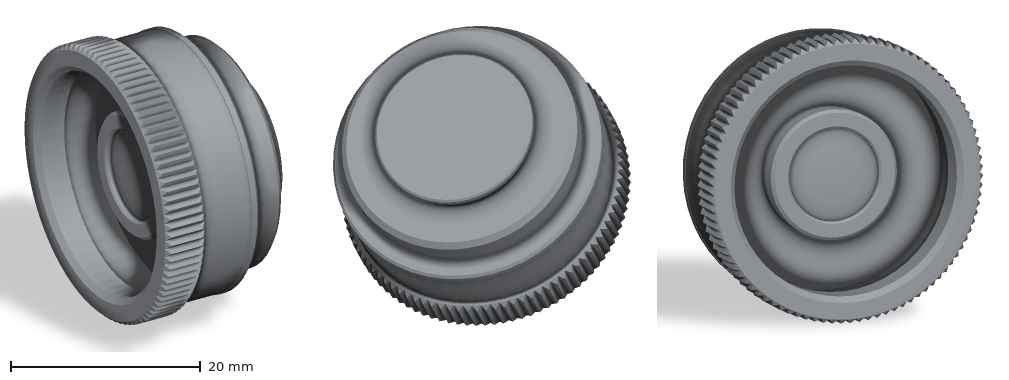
import cadquery as cq
import math


grip_diameter = 30.5
grip_length = 4.8
tooth_count = 95
tooth_depth = 0.52
grip_chamfer = tooth_depth

barrel_diameter = 28.8
band_diameter = 29.0
band_start = 10.68
band_end = 11.62
band_chamfer = 0.27
flange_neck_diameter = 24.5
flange_diameter = 25.4
flange_start = 12.38
flange_end = 15.62
flange_chamfer = 0.58
collar_diameter = 16.0
collar_end = 16.85
collar_chamfer = 0.25
lip_neck_diameter = 13.1
lip_diameter = 17.0
lip_start = 17.23
lip_chamfer = 0.2
total_length = 18.03

mouth_diameter = 24.7
mouth_chamfer = 0.6
mouth_depth = 3.45
chamber_diameter = 25.6
chamber_depth = 7.47

boss_diameter = 14.0
boss_front = 4.18
boss_chamfer = 0.35
lens_diameter = 10.0
lens_seat_depth = 0.67
lens_seat_chamfer = 0.2
lens_bulge = 0.3

center_axis = cq.Vector(0, 1, 0)


def disc(diameter, start, end):
    """Cylinder on the Y axis between two Y positions."""
    return cq.Workplane(cq.Solid.makeCylinder(
        diameter / 2, end - start, cq.Vector(0, start, 0), center_axis))


def countersink(diameter, chamfer, start):
    """Cone that breaks the front edge of a bore by 45 degrees."""
    return cq.Workplane(cq.Solid.makeCone(
        diameter / 2 + chamfer, diameter / 2, chamfer, cq.Vector(0, start, 0), center_axis))


def knurled_grip():
    """Ring of V teeth, with one crest at the top, bevelled at both ends."""
    crest_radius = grip_diameter / 2
    root_radius = crest_radius - tooth_depth
    half_pitch = math.pi / tooth_count
    points = []
    for step in range(2 * tooth_count):
        radius = crest_radius if step % 2 == 0 else root_radius
        angle = math.pi / 2 + step * half_pitch
        points.append((radius * math.cos(angle), radius * math.sin(angle)))
    teeth = cq.Workplane("XZ").polyline(points).close().extrude(-grip_length)
    envelope = disc(grip_diameter, 0, grip_length).edges().chamfer(grip_chamfer)
    return teeth.intersect(envelope)


def stepped_body():
    """Barrel, band, flange, collar and rear lip, with the narrower necks between."""
    barrel = disc(barrel_diameter, 0, band_start)
    band = disc(band_diameter, band_start, band_end).faces(">Y").chamfer(band_chamfer)
    flange_neck = disc(flange_neck_diameter, band_end, flange_start)
    flange = disc(flange_diameter, flange_start, flange_end).faces(">Y").chamfer(flange_chamfer)
    collar = disc(collar_diameter, flange_end, collar_end).faces(">Y").chamfer(collar_chamfer)
    lip_neck = disc(lip_neck_diameter, collar_end, lip_start)
    lip = disc(lip_diameter, lip_start, total_length).faces(">Y").chamfer(lip_chamfer)
    body = barrel
    for step in (band, flange_neck, flange, collar, lip_neck, lip):
        body = body.union(step)
    return body


def front_cavity():
    """Bevelled mouth that opens into a slightly wider chamber."""
    mouth = disc(mouth_diameter, 0, mouth_depth)
    bevel = countersink(mouth_diameter, mouth_chamfer, 0)
    chamber = disc(chamber_diameter, mouth_depth, chamber_depth)
    return mouth.union(bevel).union(chamber)


def lens_boss():
    """Bevelled boss with a shallow seat that holds a convex lens face."""
    boss = disc(boss_diameter, boss_front, chamber_depth).faces("<Y").chamfer(boss_chamfer)
    seat_floor = boss_front + lens_seat_depth
    seat = disc(lens_diameter, boss_front, seat_floor)
    seat = seat.union(countersink(lens_diameter, lens_seat_chamfer, boss_front))
    return boss.cut(seat).union(lens_dome(seat_floor))


def lens_dome(seat_floor):
    """Spherical cap rising forward from the floor of the lens seat."""
    lens_radius = lens_diameter / 2
    sphere_radius = (lens_radius ** 2 + lens_bulge ** 2) / (2 * lens_bulge)
    apex = seat_floor - lens_bulge
    half_angle = math.asin(lens_radius / sphere_radius) / 2
    arc_middle = (
        sphere_radius * math.sin(half_angle),
        apex + sphere_radius * (1 - math.cos(half_angle)),
    )
    return (
        cq.Workplane("XY")
        .moveTo(0, apex)
        .threePointArc(arc_middle, (lens_radius, seat_floor))
        .lineTo(0, seat_floor)
        .close()
        .revolve(360, (0, 0, 0), (0, 1, 0))
    )


result = stepped_body().union(knurled_grip()).cut(front_cavity()).union(lens_boss())